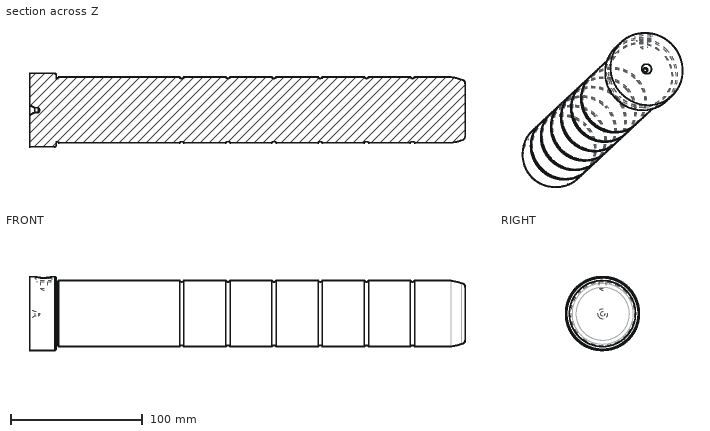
import cadquery as cq
import math

length = 330.0
head_diameter = 56.0
head_length = 20.0
head_chamfer = 1.0
shaft_diameter = 50.0

relief_width = 2.0
relief_depth = 1.0
relief_ramp = 1.0

groove_count = 6
first_groove_x = 115.2
groove_pitch = 35.0
groove_width = 3.3
groove_depth = 1.0

lead_length = 11.0
corner_length = 3.0
lead_drop = 2.0
corner_drop = corner_length
lead_bulge = 0.3

centre_mouth_diameter = 7.5
centre_drill_diameter = 3.3
centre_cone_angle = 60.0
centre_drill_depth = 6.5

screw_x = 10.5
screw_mouth_diameter = 13.5
screw_mouth_depth = 1.3
screw_diameter = 11.0
screw_recess_depth = 1.3
pilot_diameter = 5.3
pilot_depth = 5.0

drill_tip_angle = 118.0

head_radius = head_diameter / 2
shaft_radius = shaft_diameter / 2


def make_pin():
    """Revolve the headed pin, including the head relief and the lead-in."""
    neck_radius = shaft_radius - relief_depth
    relief_end = head_length + relief_width
    lead_start = length - lead_length
    corner_start = length - corner_length
    corner_radius = shaft_radius - lead_drop
    end_radius = corner_radius - corner_drop
    lead_middle = ((lead_start + corner_start) / 2, shaft_radius - lead_drop / 2 + lead_bulge)
    corner_bow = math.sqrt(0.5)
    corner_middle = (
        corner_start + corner_length * corner_bow,
        end_radius + corner_drop * corner_bow,
    )
    return (
        cq.Workplane("XY")
        .lineTo(0, head_radius)
        .lineTo(head_length - head_chamfer, head_radius)
        .lineTo(head_length, head_radius - head_chamfer)
        .lineTo(head_length, neck_radius)
        .lineTo(relief_end - relief_ramp, neck_radius)
        .lineTo(relief_end, shaft_radius)
        .lineTo(lead_start, shaft_radius)
        .threePointArc(lead_middle, (corner_start, corner_radius))
        .threePointArc(corner_middle, (length, end_radius))
        .lineTo(length, 0)
        .close()
        .revolve(360, (0, 0, 0), (1, 0, 0))
    )


def groove_cutter(x):
    """Ring with an arc-shaped floor, centred at the given place along the shaft."""
    half_width = groove_width / 2
    outer_radius = shaft_radius + groove_depth
    return (
        cq.Workplane("XY")
        .moveTo(x - half_width, outer_radius)
        .lineTo(x - half_width, shaft_radius)
        .threePointArc((x, shaft_radius - groove_depth), (x + half_width, shaft_radius))
        .lineTo(x + half_width, outer_radius)
        .close()
        .revolve(360, (0, 0, 0), (1, 0, 0))
    )


def drill_tip_length(radius):
    """Length of the conical point left by a drill of the given radius."""
    return radius / math.tan(math.radians(drill_tip_angle / 2))


def centre_hole_cutter():
    """Conical mouth leading into a small drilled hole with a pointed bottom."""
    mouth_radius = centre_mouth_diameter / 2
    drill_radius = centre_drill_diameter / 2
    cone_depth = (mouth_radius - drill_radius) / math.tan(math.radians(centre_cone_angle / 2))
    return (
        cq.Workplane("XY")
        .lineTo(0, mouth_radius)
        .lineTo(cone_depth, drill_radius)
        .lineTo(centre_drill_depth, drill_radius)
        .lineTo(centre_drill_depth + drill_tip_length(drill_radius), 0)
        .close()
        .revolve(360, (0, 0, 0), (1, 0, 0))
    )


def screw_recess_cutter():
    """Countersunk recess in the top of the head, with a pilot hole in its floor."""
    mouth_radius = screw_mouth_diameter / 2
    pilot_radius = pilot_diameter / 2
    screw_radius = screw_diameter / 2
    mouth_z = head_radius - screw_mouth_depth
    cone_end_z = mouth_z - (mouth_radius - screw_radius)
    floor_z = cone_end_z - screw_recess_depth
    top_z = head_radius + screw_mouth_depth
    pilot_end_z = floor_z - pilot_depth
    tip_z = pilot_end_z - drill_tip_length(pilot_radius)
    return (
        cq.Workplane("XZ")
        .moveTo(screw_x, tip_z)
        .lineTo(screw_x + pilot_radius, pilot_end_z)
        .lineTo(screw_x + pilot_radius, floor_z)
        .lineTo(screw_x + screw_radius, floor_z)
        .lineTo(screw_x + screw_radius, cone_end_z)
        .lineTo(screw_x + mouth_radius, mouth_z)
        .lineTo(screw_x + mouth_radius, top_z)
        .lineTo(screw_x, top_z)
        .close()
        .revolve(360, (screw_x, 0, 0), (screw_x, 1, 0))
    )


result = make_pin()
for groove_index in range(groove_count):
    result = result.cut(groove_cutter(first_groove_x + groove_index * groove_pitch))
result = result.cut(centre_hole_cutter())
result = result.cut(screw_recess_cutter())